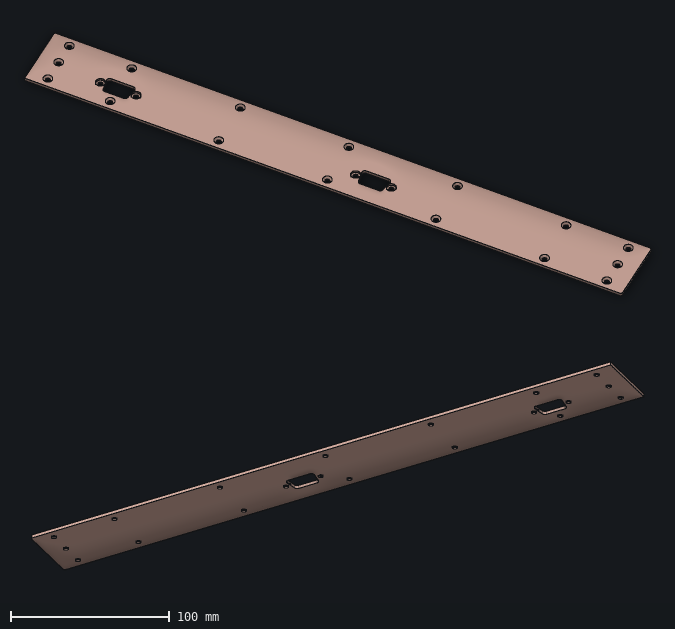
import cadquery as cq
import math

LENGTH = 419.1
WIDTH = 43.18
THICKNESS = 2.5
CORNER_RADIUS = 1.38

FIXING_DIAMETER = 3.25
FIXING_HEAD_DIAMETER = 6.09
COUNTERSINK_ANGLE = 90.0
FIXING_PITCH = 76.2
FIXING_STEPS = (-2, -1, 0, 1, 2)
FIXING_ROW_Y = 15.5
END_COLUMN_X = 196.1

CONNECTOR_CENTRES_X = (-2 * FIXING_PITCH, 26.67)
CONNECTOR_Y = -3.81
CUTOUT_WIDTH = 20.5
CUTOUT_HEIGHT = 11.4
CUTOUT_SIDE_ANGLE = 10.0
CUTOUT_CORNER_RADIUS = 2.0
SCREW_SPACING = 25.0
SCREW_DIAMETER = 3.2
SCREW_HEAD_DIAMETER = 6.35
SCREW_HEAD_DEPTH = 1.5


def make_plate():
    """Flat strip with the two +X corners rounded."""
    plate = cq.Workplane("XY").box(LENGTH, WIDTH, THICKNESS, centered=(True, True, False))
    return plate.edges("|Z and >X").fillet(CORNER_RADIUS)


def drill_countersunk(plate, points, diameter, head_diameter):
    """Through holes countersunk from the top face."""
    top = plate.faces(">Z").workplane(origin=(0, 0, THICKNESS))
    return top.pushPoints(points).cskHole(diameter, head_diameter, COUNTERSINK_ANGLE)


def drill_counterbored(plate, points, diameter, head_diameter, head_depth):
    """Through holes with flat-bottomed head recesses in the top face."""
    top = plate.faces(">Z").workplane(origin=(0, 0, THICKNESS))
    return top.pushPoints(points).cboreHole(diameter, head_diameter, head_depth)


def fixing_points():
    """Two rows along the plate plus a column of three at each end."""
    points = []
    for side in (-1, 1):
        points += [(step * FIXING_PITCH, side * FIXING_ROW_Y) for step in FIXING_STEPS]
        points += [(side * END_COLUMN_X, row * FIXING_ROW_Y) for row in (-1, 0, 1)]
    return points


def screw_points():
    """One screw hole on each side of every connector cutout."""
    return [
        (centre_x + side * SCREW_SPACING / 2, CONNECTOR_Y)
        for centre_x in CONNECTOR_CENTRES_X
        for side in (-1, 1)
    ]


def make_cutout(centre_x):
    """Rounded trapezoid prism, wider toward +Y, running through the plate."""
    half_top = CUTOUT_WIDTH / 2
    half_bottom = half_top - CUTOUT_HEIGHT * math.tan(math.radians(CUTOUT_SIDE_ANGLE))
    half_height = CUTOUT_HEIGHT / 2
    outline = [
        (-half_top, half_height),
        (half_top, half_height),
        (half_bottom, -half_height),
        (-half_bottom, -half_height),
    ]
    prism = cq.Workplane("XY").polyline(outline).close().extrude(THICKNESS)
    return prism.edges("|Z").fillet(CUTOUT_CORNER_RADIUS).translate((centre_x, CONNECTOR_Y, 0))


result = make_plate()
result = drill_countersunk(result, fixing_points(), FIXING_DIAMETER, FIXING_HEAD_DIAMETER)
result = drill_counterbored(
    result, screw_points(), SCREW_DIAMETER, SCREW_HEAD_DIAMETER, SCREW_HEAD_DEPTH
)
for connector_x in CONNECTOR_CENTRES_X:
    result = result.cut(make_cutout(connector_x))